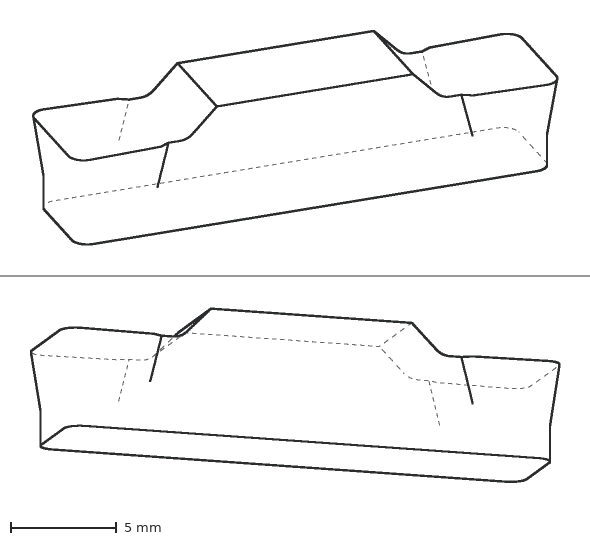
import cadquery as cq
import math

length = 24.75
height = 6.15
seat_height = 4.65
body_width = 5.17
relief_angle = 7.0
front_land_height = 1.85
corner_radius = 0.8

crest_length = 9.95
ramp_angle = 45.0
ramp_root_radius = 0.95

edge_width = 6.11
side_taper = 2.5
flank_length = 4.45
head_length = 4.95
bevel_radius = 0.15
head_depth = 3.71

relief_slope = math.tan(math.radians(relief_angle))
body_length = length - 2 * (seat_height - front_land_height) * relief_slope


def make_body():
    """Prismatic shank with a raised, ramped middle and rounded ends."""
    half_length = body_length / 2
    half_crest = crest_length / 2
    ramp_run = (height - seat_height) / math.tan(math.radians(ramp_angle))
    half_ramp = half_crest + ramp_run
    profile = [
        (-half_length, 0),
        (half_length, 0),
        (half_length, seat_height),
        (half_ramp, seat_height),
        (half_crest, height),
        (-half_crest, height),
        (-half_ramp, seat_height),
        (-half_length, seat_height),
    ]
    body = cq.Workplane("YZ").polyline(profile).close().extrude(body_width / 2, both=True)
    for side in (-1, 1):
        root = cq.selectors.NearestToPointSelector((0, side * half_ramp, seat_height))
        body = body.edges(root).fillet(ramp_root_radius)
    return body.edges("|Z").fillet(corner_radius)


def make_head():
    """Cutting head at the -Y end, with flanks leaning in below its top face."""
    front = -length / 2
    half_edge = edge_width / 2
    half_body = body_width / 2
    half_rear = half_edge - flank_length * math.tan(math.radians(side_taper))
    half_inner = 2 * half_body - half_rear
    inner_length = 2 * head_length - flank_length
    outline = [
        (-half_edge, front),
        (half_edge, front),
        (half_rear, front + flank_length),
        (half_inner, front + inner_length),
        (-half_inner, front + inner_length),
        (-half_rear, front + flank_length),
    ]
    head = (
        cq.Workplane("XY", origin=(0, 0, seat_height))
        .polyline(outline)
        .close()
        .extrude(-head_depth, taper=relief_angle)
    )
    inset = head_depth / 2 * relief_slope
    for half_width, distance, radius in (
        (half_edge, 0, corner_radius),
        (half_rear, flank_length, bevel_radius),
    ):
        for side in (-1, 1):
            corner = (side * (half_width - inset), front + distance, seat_height - head_depth / 2)
            head = head.edges(cq.selectors.NearestToPointSelector(corner)).fillet(radius)
    return head


head = make_head()
opposite_head = head.mirror("XZ")
result = make_body().union(head).union(opposite_head)